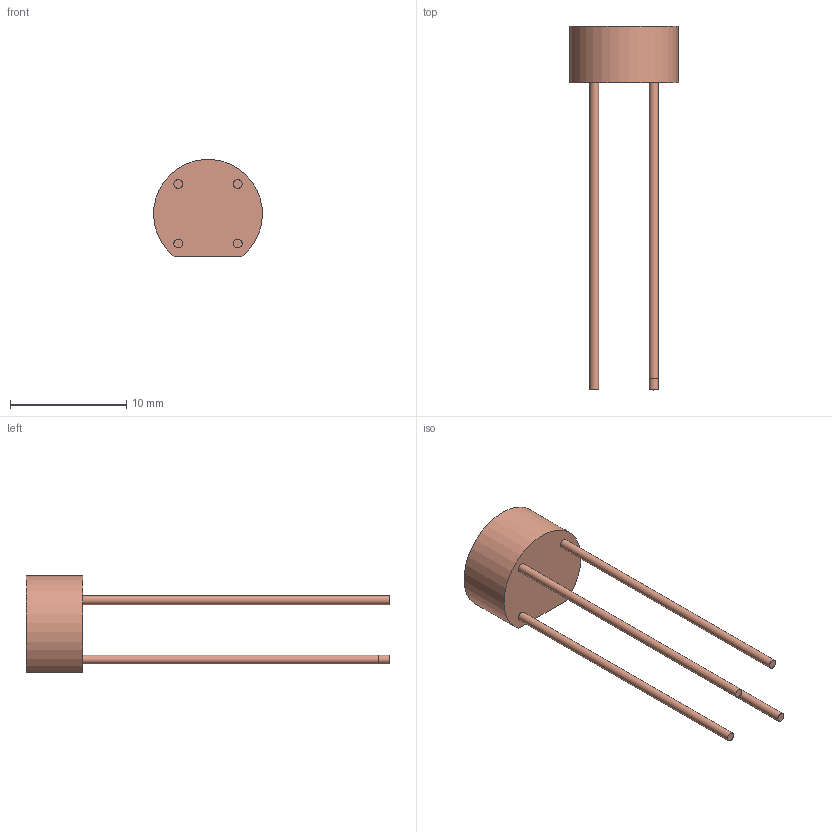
import cadquery as cq

body_diameter = 9.35
body_height = 8.33
body_length = 4.85
body_radius = body_diameter / 2
flat_z = body_radius - body_height

lead_diameter = 0.76
lead_pitch = 5.1
overall_length = 31.25
long_lead_length = overall_length - body_length
lead_length_difference = 1.0
short_lead_length = long_lead_length - lead_length_difference


def make_body():
    """Disc from Y = 0 to Y = body_length, trimmed below the flat."""
    disc = cq.Workplane("XZ").circle(body_radius).extrude(-body_length)
    keep_box = cq.Workplane("XY").box(
        body_diameter, body_length, body_height, centered=(True, False, False)
    )
    return disc.intersect(keep_box.translate((0, 0, flat_z)))


def make_lead(x_side, z_side, length):
    """Round lead starting on the front face of the body at Y = 0."""
    x = x_side * lead_pitch / 2
    z = z_side * lead_pitch / 2
    return cq.Workplane("XZ").center(x, z).circle(lead_diameter / 2).extrude(length)


result = make_body()
for x_side in (-1, 1):
    for z_side in (-1, 1):
        is_long = x_side != z_side
        lead_length = long_lead_length if is_long else short_lead_length
        result = result.union(make_lead(x_side, z_side, lead_length))